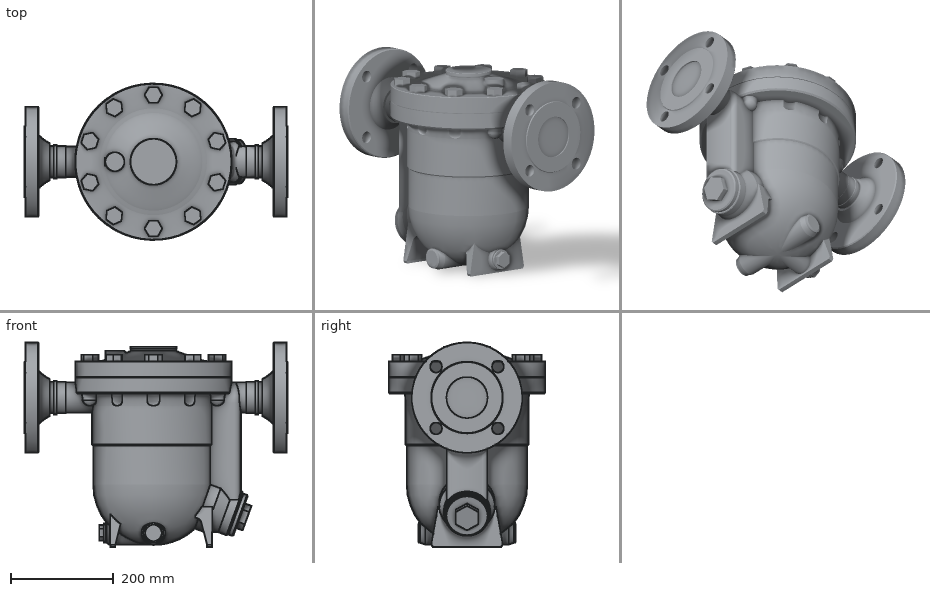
import cadquery as cq
import math


UPPER_RADIUS = 120.0
LOWER_RADIUS = 117.5
NECK_RADIUS = 121.5
NECK_BOTTOM_Z = -16.5
STEP_Z = -91.0
DOME_CENTRE_Z = -169.5

JOINT_RADIUS = 152.5
BODY_FLANGE_BOTTOM_Z = 7.0
JOINT_Z = 39.5
COVER_TOP_Z = 71.0
GASKET_GROOVE_HEIGHT = 1.5
GASKET_GROOVE_DEPTH = 1.5
COVER_CHAMFER = 1.0
FLANGE_BOTTOM_CHAMFER = 3.0

CROWN_FOOT_RADIUS = 104.0
CROWN_EDGE_RADIUS = 95.0
CROWN_EDGE_Z = 72.5
CAP_FOOT_RADIUS = 48.5
CAP_FOOT_Z = 88.8
CAP_FOOT_HEIGHT = 2.0
CAP_NECK_RADIUS = 44.5
CAP_RADIUS = 45.0
CAP_HEAD_Z = 95.0
CAP_TOP_Z = 99.0
CAP_CHAMFER = 0.5
COVER_BOSS_X = -75.0
COVER_BOSS_RADIUS = 18.5
COVER_BOSS_TOP_Z = 91.5
COVER_BOSS_FILLET = 4.0

BOLT_COUNT = 10
BOLTS_BESIDE_PIPES = (2, 3, 7, 8)
BOLT_CIRCLE_RADIUS = 130.0
BOLT_FIRST_ANGLE = 90.0
BOLT_ACROSS_FLATS = 30.0
BOLT_HEAD_HEIGHT = 12.5
POCKET_RADIUS = 15.5
POCKET_CORNER_RADIUS = 9.0
BOSS_RADIUS = 14.4
BOSS_FLARE_RADIUS = 16.0
BOSS_FLARE_Z = -0.5
BOSS_WALL_BOTTOM_Z = -5.0
BOSS_TIP_Z = -16.0

OVERALL_LENGTH = 512.0
LENGTH_CENTRE_X = 5.0
FLANGE_RADIUS = 107.5
FLANGE_THICKNESS = 28.0
FLANGE_CHAMFER = 2.0
RAISED_FACE_RADIUS = 69.0
RAISED_FACE_FOOT_RADIUS = 70.0
RAISED_FACE_HEIGHT = 2.0
BORE_RADIUS = 40.0
BORE_RECESS_DEPTH = 3.0
FLANGE_HOLE_COUNT = 4
FLANGE_HOLE_RADIUS = 11.5
FLANGE_HOLE_CIRCLE_RADIUS = 85.0
HUB_BASE_RADIUS = 51.5
HUB_SHOULDER_RADIUS = 46.0
HUB_SHOULDER_LENGTH = 6.0
HUB_TIP_RADIUS = 36.0
HUB_LENGTH = 21.5
NECK_PIPE_RADIUS = 31.0
NECK_PIPE_LENGTH = 31.0
BEAD_RADIUS = 33.0
BEAD_START = 8.0
BEAD_LENGTH = 5.0
PIPE_RADIUS = 30.0

PASSAGE_HALF_WIDTH = 39.5
PASSAGE_CROWN_Z = 30.0
PASSAGE_BOTTOM_Z = -199.0
PASSAGE_END_X = 167.3
PASSAGE_CORNER_RADIUS = 10.0
PASSAGE_BULGE_X = 170.7

PORT_ORIGIN_Z = -168.3
PORT_ANGLE = 20.0
PORT_ROOT_RADIUS = 54.0
PORT_ROOT_START = 60.0
PORT_CONE_START = 126.0
PORT_CONE_END = 150.5
PORT_RADIUS = 45.0
PORT_END = 169.0
PORT_CHAMFER = 1.5
PORT_GASKET_RADIUS = 41.5
PORT_GASKET_END = 171.0
PORT_PLUG_RADIUS = 42.5
PORT_PLUG_TOP_RADIUS = 40.0
PORT_PLUG_CHAMFER = 2.0
PORT_PLUG_END = 180.5
PORT_HEX_ACROSS_FLATS = 44.0
PORT_HEX_END = 194.0

NOZZLE_Z = -263.5
NOZZLE_RADIUS = 23.0
SIDE_NOZZLE_TAPER_Y = 81.0
SIDE_NOZZLE_LAND_Y = 91.0
SIDE_NOZZLE_LAND_RADIUS = 19.5
SIDE_NOZZLE_RIM_RADIUS = 16.0
SIDE_NOZZLE_RIM_DEPTH = 1.5
SIDE_NOZZLE_END_Y = 95.0
DRAIN_SHOULDER_X = -85.0
DRAIN_END_X = -91.0
DRAIN_END_RADIUS = 19.5
DRAIN_GASKET_RADIUS = 17.5
DRAIN_GASKET_END_X = -93.0
DRAIN_COLLAR_RADIUS = 19.0
DRAIN_COLLAR_END_X = -96.5
DRAIN_HEX_ACROSS_FLATS = 27.0
DRAIN_HEX_END_X = -105.5

FOOT_BOTTOM_Z = -291.0
FOOT_TOP_Z = -212.5
FOOT_CENTRE_X = 15.0
FOOT_OUTER_OFFSET = 99.0
FOOT_SOLE_THICKNESS = 10.0
FOOT_SOLE_HEIGHT = 5.0
FOOT_INNER_SLOPE = 14.0
FOOT_BEND_Z = -245.0
FOOT_ROOT_OFFSET = 66.0
FOOT_ROOT_Z = -233.5
FOOT_HALF_LENGTH = 69.5
FOOT_END_SLOPE = 10.0
FOOT_SOLE_CHAMFER = 3.0


def turned(points):
    """Solid of revolution about Z from (radius, z) outline points."""
    return cq.Workplane("XZ").polyline(points).close().revolve(360, (0, 0, 0), (0, 1, 0))


def hexagon(across_flats, start_z, end_z):
    corner_diameter = across_flats / math.cos(math.radians(30))
    return cq.Workplane("XY").workplane(offset=start_z).polygon(6, corner_diameter).extrude(end_z - start_z)


def cylinder(radius, start_z, end_z):
    return cq.Workplane("XY").workplane(offset=start_z).circle(radius).extrude(end_z - start_z)


def body():
    step_height = UPPER_RADIUS - LOWER_RADIUS
    groove_radius = JOINT_RADIUS - GASKET_GROOVE_DEPTH
    outline = (
        cq.Workplane("XZ")
        .moveTo(0, DOME_CENTRE_Z - LOWER_RADIUS)
        .radiusArc((LOWER_RADIUS, DOME_CENTRE_Z), -LOWER_RADIUS)
        .lineTo(LOWER_RADIUS, STEP_Z - step_height)
        .lineTo(UPPER_RADIUS, STEP_Z)
        .lineTo(UPPER_RADIUS, NECK_BOTTOM_Z)
        .lineTo(NECK_RADIUS, BODY_FLANGE_BOTTOM_Z)
        .lineTo(JOINT_RADIUS - FLANGE_BOTTOM_CHAMFER, BODY_FLANGE_BOTTOM_Z)
        .lineTo(JOINT_RADIUS, BODY_FLANGE_BOTTOM_Z + FLANGE_BOTTOM_CHAMFER)
        .lineTo(JOINT_RADIUS, JOINT_Z - GASKET_GROOVE_HEIGHT / 2)
        .lineTo(groove_radius, JOINT_Z - GASKET_GROOVE_HEIGHT / 2)
        .lineTo(groove_radius, JOINT_Z)
        .lineTo(0, JOINT_Z)
        .close()
    )
    return outline.revolve(360, (0, 0, 0), (0, 1, 0))


def cover():
    groove_radius = JOINT_RADIUS - GASKET_GROOVE_DEPTH
    shell = turned([
        (0, JOINT_Z),
        (groove_radius, JOINT_Z),
        (groove_radius, JOINT_Z + GASKET_GROOVE_HEIGHT / 2),
        (JOINT_RADIUS, JOINT_Z + GASKET_GROOVE_HEIGHT / 2),
        (JOINT_RADIUS, COVER_TOP_Z - COVER_CHAMFER),
        (JOINT_RADIUS - COVER_CHAMFER, COVER_TOP_Z),
        (CROWN_FOOT_RADIUS, COVER_TOP_Z),
        (CROWN_EDGE_RADIUS, CROWN_EDGE_Z),
        (CAP_FOOT_RADIUS, CAP_FOOT_Z),
        (CAP_NECK_RADIUS, CAP_FOOT_Z + CAP_FOOT_HEIGHT),
        (CAP_NECK_RADIUS, CAP_HEAD_Z),
        (CAP_RADIUS, CAP_HEAD_Z),
        (CAP_RADIUS, CAP_TOP_Z - CAP_CHAMFER),
        (CAP_RADIUS - CAP_CHAMFER, CAP_TOP_Z),
        (0, CAP_TOP_Z),
    ])
    boss = cylinder(COVER_BOSS_RADIUS, JOINT_Z, COVER_BOSS_TOP_Z).translate((COVER_BOSS_X, 0, 0))
    boss_foot = cq.selectors.BoxSelector(
        (COVER_BOSS_X - COVER_BOSS_RADIUS, -COVER_BOSS_RADIUS, CROWN_EDGE_Z),
        (COVER_BOSS_X + COVER_BOSS_RADIUS, COVER_BOSS_RADIUS, COVER_BOSS_TOP_Z - COVER_CHAMFER),
    )
    return shell.union(boss).edges(boss_foot).fillet(COVER_BOSS_FILLET)


def at_bolts(shape, bolts):
    """Copies of a shape standing on the Z axis, turned to the given bolt positions."""
    placed = cq.Workplane("XY")
    on_circle = shape.translate((BOLT_CIRCLE_RADIUS, 0, 0))
    for bolt in bolts:
        angle = BOLT_FIRST_ANGLE + bolt * 360 / BOLT_COUNT
        placed = placed.add(on_circle.rotate((0, 0, 0), (0, 0, 1), angle))
    return placed.combine()


def bolt_heads():
    head = hexagon(BOLT_ACROSS_FLATS, JOINT_Z, COVER_TOP_Z + BOLT_HEAD_HEIGHT)
    return at_bolts(head.rotate((0, 0, 0), (0, 0, 1), 30), range(BOLT_COUNT))


def bolt_pockets():
    pocket = cylinder(POCKET_RADIUS, NECK_BOTTOM_Z, BODY_FLANGE_BOTTOM_Z)
    pocket = pocket.faces("<Z").edges().fillet(POCKET_CORNER_RADIUS)
    return at_bolts(pocket, [bolt for bolt in range(BOLT_COUNT) if bolt not in BOLTS_BESIDE_PIPES])


def bolt_bosses():
    """Bosses with a domed lower end, hanging from the body flange."""
    dome_height = BOSS_WALL_BOTTOM_Z - BOSS_TIP_Z
    dome_radius = (BOSS_RADIUS ** 2 + dome_height ** 2) / (2 * dome_height)
    boss = (
        cq.Workplane("XZ")
        .moveTo(0, BOSS_TIP_Z)
        .radiusArc((BOSS_RADIUS, BOSS_WALL_BOTTOM_Z), -dome_radius)
        .lineTo(BOSS_RADIUS, BOSS_FLARE_Z)
        .lineTo(BOSS_FLARE_RADIUS, BODY_FLANGE_BOTTOM_Z)
        .lineTo(0, BODY_FLANGE_BOTTOM_Z)
        .close()
        .revolve(360, (0, 0, 0), (0, 1, 0))
    )
    return at_bolts(boss, BOLTS_BESIDE_PIPES)


def pipe_connection():
    """Flanged pipe end along +X, measured from the middle of the overall length."""
    end = OVERALL_LENGTH / 2
    face = end - RAISED_FACE_HEIGHT
    back = end - FLANGE_THICKNESS
    hub_end = back - HUB_LENGTH
    bead_end = hub_end - BEAD_START
    bead_start = bead_end - BEAD_LENGTH
    neck_start = hub_end - NECK_PIPE_LENGTH
    connection = turned([
        (0, 0),
        (PIPE_RADIUS, 0),
        (PIPE_RADIUS, neck_start),
        (NECK_PIPE_RADIUS, neck_start),
        (NECK_PIPE_RADIUS, bead_start),
        (BEAD_RADIUS, bead_start),
        (BEAD_RADIUS, bead_end),
        (NECK_PIPE_RADIUS, bead_end),
        (NECK_PIPE_RADIUS, hub_end),
        (NECK_PIPE_RADIUS, back),
        (FLANGE_RADIUS - FLANGE_CHAMFER, back),
        (FLANGE_RADIUS, back + FLANGE_CHAMFER),
        (FLANGE_RADIUS, face),
        (RAISED_FACE_FOOT_RADIUS, face),
        (RAISED_FACE_RADIUS, end),
        (BORE_RADIUS, end),
        (BORE_RADIUS, end - BORE_RECESS_DEPTH),
        (0, end - BORE_RECESS_DEPTH),
    ])
    hub = (
        cq.Workplane("XZ")
        .moveTo(0, hub_end)
        .lineTo(HUB_TIP_RADIUS, hub_end)
        .threePointArc((HUB_SHOULDER_RADIUS, back - HUB_SHOULDER_LENGTH), (HUB_BASE_RADIUS, back))
        .lineTo(0, back)
        .close()
        .revolve(360, (0, 0, 0), (0, 1, 0))
    )
    holes = (
        cq.Workplane("XY")
        .workplane(offset=back)
        .polarArray(FLANGE_HOLE_CIRCLE_RADIUS, 180 / FLANGE_HOLE_COUNT, 360, FLANGE_HOLE_COUNT)
        .circle(FLANGE_HOLE_RADIUS)
        .extrude(FLANGE_THICKNESS)
    )
    return connection.union(hub).cut(holes).rotate((0, 0, 0), (0, 1, 0), 90)


def outlet_passage():
    crown_centre_z = PASSAGE_CROWN_Z - PASSAGE_HALF_WIDTH
    passage = (
        cq.Workplane("YZ")
        .moveTo(-PASSAGE_HALF_WIDTH, PASSAGE_BOTTOM_Z)
        .lineTo(-PASSAGE_HALF_WIDTH, crown_centre_z)
        .threePointArc((0, PASSAGE_CROWN_Z), (PASSAGE_HALF_WIDTH, crown_centre_z))
        .lineTo(PASSAGE_HALF_WIDTH, PASSAGE_BOTTOM_Z)
        .close()
        .extrude(PASSAGE_END_X)
        .faces(">X")
        .edges("not(<Z)")
        .fillet(PASSAGE_CORNER_RADIUS)
    )
    bulge_half_width = PASSAGE_HALF_WIDTH - PASSAGE_CORNER_RADIUS
    bulge = (
        cq.Workplane("XY")
        .workplane(offset=PASSAGE_BOTTOM_Z)
        .moveTo(PASSAGE_END_X, -bulge_half_width)
        .threePointArc((PASSAGE_BULGE_X, 0), (PASSAGE_END_X, bulge_half_width))
        .close()
        .extrude(crown_centre_z - PASSAGE_BOTTOM_Z)
    )
    return passage.union(bulge)


def cleaning_port():
    port = turned([
        (0, PORT_ROOT_START),
        (PORT_ROOT_RADIUS, PORT_ROOT_START),
        (PORT_ROOT_RADIUS, PORT_CONE_START),
        (PORT_RADIUS, PORT_CONE_END),
        (PORT_RADIUS, PORT_END - PORT_CHAMFER),
        (PORT_RADIUS - PORT_CHAMFER, PORT_END),
        (PORT_GASKET_RADIUS, PORT_END),
        (PORT_GASKET_RADIUS, PORT_GASKET_END),
        (PORT_PLUG_RADIUS, PORT_GASKET_END),
        (PORT_PLUG_RADIUS, PORT_PLUG_END - PORT_PLUG_CHAMFER),
        (PORT_PLUG_TOP_RADIUS, PORT_PLUG_END),
        (0, PORT_PLUG_END),
    ])
    port = port.union(hexagon(PORT_HEX_ACROSS_FLATS, PORT_GASKET_END, PORT_HEX_END))
    tilted = port.rotate((0, 0, 0), (0, 1, 0), 90 + PORT_ANGLE)
    return tilted.translate((0, 0, PORT_ORIGIN_Z))


def side_nozzles():
    """Two blanked nozzles on one axis, pointing to -Y and +Y."""
    half = turned([
        (0, 0),
        (NOZZLE_RADIUS, 0),
        (NOZZLE_RADIUS, SIDE_NOZZLE_TAPER_Y),
        (SIDE_NOZZLE_LAND_RADIUS, SIDE_NOZZLE_LAND_Y),
        (SIDE_NOZZLE_LAND_RADIUS, SIDE_NOZZLE_END_Y - SIDE_NOZZLE_RIM_DEPTH),
        (SIDE_NOZZLE_RIM_RADIUS, SIDE_NOZZLE_END_Y),
        (0, SIDE_NOZZLE_END_Y),
    ])
    front = half.rotate((0, 0, 0), (1, 0, 0), 90)
    return front.union(front.mirror("XZ")).translate((0, 0, NOZZLE_Z))


def drain_nozzle():
    nozzle = turned([
        (0, 0),
        (NOZZLE_RADIUS, 0),
        (NOZZLE_RADIUS, -DRAIN_SHOULDER_X),
        (DRAIN_END_RADIUS, -DRAIN_END_X),
        (DRAIN_GASKET_RADIUS, -DRAIN_END_X),
        (DRAIN_GASKET_RADIUS, -DRAIN_GASKET_END_X),
        (DRAIN_COLLAR_RADIUS, -DRAIN_GASKET_END_X),
        (DRAIN_COLLAR_RADIUS, -DRAIN_COLLAR_END_X),
        (0, -DRAIN_COLLAR_END_X),
    ])
    nozzle = nozzle.union(hexagon(DRAIN_HEX_ACROSS_FLATS, -DRAIN_END_X, -DRAIN_HEX_END_X))
    return nozzle.rotate((0, 0, 0), (0, 1, 0), -90).translate((0, 0, NOZZLE_Z))


def foot():
    """Tapered plate foot on the +X side of the midplane between the feet."""
    sole_top = FOOT_BOTTOM_Z + FOOT_SOLE_HEIGHT
    inner_offset = FOOT_OUTER_OFFSET - FOOT_SOLE_THICKNESS
    height = FOOT_TOP_Z - sole_top
    bend_offset = inner_offset - (FOOT_BEND_Z - sole_top) * math.tan(math.radians(FOOT_INNER_SLOPE))
    thickness_profile = (
        cq.Workplane("XZ")
        .moveTo(FOOT_OUTER_OFFSET, FOOT_TOP_Z)
        .lineTo(FOOT_OUTER_OFFSET, FOOT_BOTTOM_Z)
        .lineTo(inner_offset, FOOT_BOTTOM_Z)
        .lineTo(inner_offset, sole_top)
        .lineTo(bend_offset, FOOT_BEND_Z)
        .tangentArcPoint((FOOT_ROOT_OFFSET, FOOT_ROOT_Z), relative=False)
        .lineTo(FOOT_ROOT_OFFSET, FOOT_TOP_Z)
        .close()
        .extrude(FOOT_HALF_LENGTH, both=True)
    )
    top_half_length = FOOT_HALF_LENGTH - height * math.tan(math.radians(FOOT_END_SLOPE))
    sole_half_length = FOOT_HALF_LENGTH - FOOT_SOLE_CHAMFER
    length_profile = (
        cq.Workplane("YZ")
        .polyline([
            (-sole_half_length, FOOT_BOTTOM_Z),
            (sole_half_length, FOOT_BOTTOM_Z),
            (FOOT_HALF_LENGTH, sole_top),
            (top_half_length, FOOT_TOP_Z),
            (-top_half_length, FOOT_TOP_Z),
            (-FOOT_HALF_LENGTH, sole_top),
        ])
        .close()
        .extrude(FOOT_OUTER_OFFSET)
    )
    return thickness_profile.intersect(length_profile)


outlet = pipe_connection()
inlet = outlet.mirror("YZ")
right_foot = foot()
left_foot = right_foot.mirror("YZ")

result = (
    body()
    .union(outlet.translate((LENGTH_CENTRE_X, 0, 0)))
    .union(inlet.translate((LENGTH_CENTRE_X, 0, 0)))
    .union(outlet_passage())
    .cut(bolt_pockets())
    .union(bolt_bosses())
    .union(cover())
    .union(bolt_heads())
    .union(cleaning_port())
    .union(side_nozzles())
    .union(drain_nozzle())
    .union(right_foot.translate((FOOT_CENTRE_X, 0, 0)))
    .union(left_foot.translate((FOOT_CENTRE_X, 0, 0)))
)